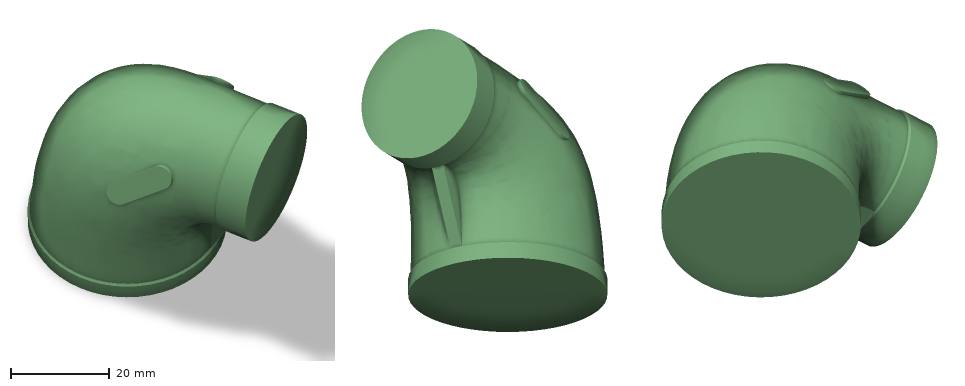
import cadquery as cq
import math


large_diameter = 40.5
small_diameter = 27.7
large_length = 3.8
small_length = 6.95
large_end_z = -32.5
overall_length = 54.25
small_end_x = overall_length - large_diameter / 2
collar_chamfer = 0.4

neck_step = 0.45
large_neck_radius = large_diameter / 2 - neck_step
small_neck_radius = small_diameter / 2 - neck_step
large_neck_z = large_end_z + large_length
small_neck_x = small_end_x - small_length
section_count = 13
mid_bend_flattening = 0.035

heel_lean = 1.65
heel_handle_z = 4.95
heel_handle_x = -6.4
throat_handle_z = -15.75
throat_handle_x = 21.4

web_thickness = 2.7

pad_center = (10.5, 15.5, 1.4)
pad_width = 5.05
pad_length = 15.85
pad_depth = 3.25
pad_tilt = 24.0
pad_turn = 40.5

heel_curve = (
    (-large_neck_radius, large_neck_z),
    (-large_neck_radius + heel_lean, heel_handle_z),
    (heel_handle_x, small_neck_radius),
    (small_neck_x, small_neck_radius),
)
throat_curve = (
    (large_neck_radius, large_neck_z),
    (large_neck_radius, throat_handle_z),
    (throat_handle_x, -small_neck_radius),
    (small_neck_x, -small_neck_radius),
)


def bezier_point(curve, t):
    """Point (x, z) at parameter t of a cubic Bezier curve."""
    weights = ((1 - t) ** 3, 3 * t * (1 - t) ** 2, 3 * t**2 * (1 - t), t**3)
    return tuple(sum(w * point[axis] for w, point in zip(weights, curve)) for axis in (0, 1))


def bend_section(t):
    """Ellipse from heel to throat: a circle at both necks, slightly narrowed sideways in mid bend."""
    heel_x, heel_z = bezier_point(heel_curve, t)
    throat_x, throat_z = bezier_point(throat_curve, t)
    across_x = throat_x - heel_x
    across_z = throat_z - heel_z
    center = cq.Vector((heel_x + throat_x) / 2, 0, (heel_z + throat_z) / 2)
    along_bend = cq.Vector(-across_z, 0, across_x)
    plane = cq.Plane(center, xDir=(across_x, 0, across_z), normal=along_bend)
    radius = math.hypot(across_x, across_z) / 2
    side_radius = radius * (1 - mid_bend_flattening * 4 * t * (1 - t))
    return cq.Workplane(plane).ellipse(radius, side_radius).wires().val()


def make_bend():
    sections = [bend_section(i / (section_count - 1)) for i in range(section_count)]
    return cq.Workplane(cq.Solid.makeLoft(sections))


def make_large_collar():
    base = cq.Workplane("XY", origin=(0, 0, large_end_z))
    return base.circle(large_diameter / 2).extrude(large_length).faces(">Z").chamfer(collar_chamfer)


def make_small_collar():
    base = cq.Workplane("YZ", origin=(small_end_x, 0, 0))
    return base.circle(small_diameter / 2).extrude(-small_length).faces("<X").chamfer(collar_chamfer)


def make_web():
    """Triangular web whose sloped edge joins the two necks; its inner corner is buried in the bend."""
    outline = [
        (0, 0),
        (large_neck_radius, large_neck_z),
        (small_neck_x, -small_neck_radius),
    ]
    return cq.Workplane("XZ").polyline(outline).close().extrude(web_thickness / 2, both=True)


def make_front_pad():
    """Flat slot-shaped pad on the -Y flank, leaning with the body; it is sunk into it."""
    x, y, z = pad_center
    lean = math.radians(pad_tilt)
    outward = (0, -math.cos(lean), math.sin(lean))
    face = cq.Plane((x, -y, z), xDir=(1, 0, 0), normal=outward)
    return cq.Workplane(face).slot2D(pad_length, pad_width, pad_turn).extrude(-pad_depth)


front_pad = make_front_pad()
result = (
    make_bend()
    .union(make_large_collar())
    .union(make_small_collar())
    .union(make_web())
    .union(front_pad)
    .union(front_pad.mirror("XZ"))
)